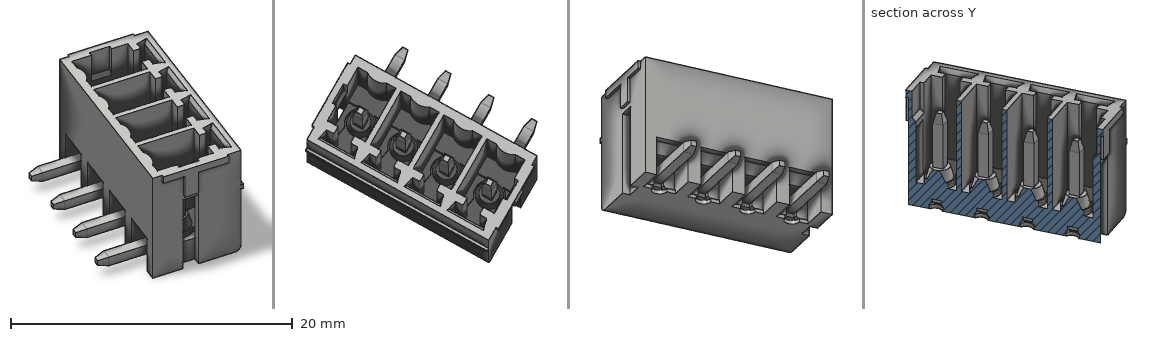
import cadquery as cq


poles = 4
pitch = 3.5
housing_length = 14.8
housing_depth = 7.0
housing_height = 9.2
bottom_back_radius = 0.5
half_length = housing_length / 2
cell_centres = [(i - (poles - 1) / 2) * pitch for i in range(poles)]

back_rib_projection = 0.2
back_rib_height = 0.4
back_rib_centre_z = 5.82

end_plate_thickness = 0.2
end_plate_front = 0.75
end_plate_back = 5.93
end_bar_height = 0.6
end_stem_front = 2.44
end_stem_back = 3.54
end_plate_height = 2.5

cell_width = 3.1
cell_front = 0.68
cell_back = 5.1
cell_floor = 1.93
ledge_top = 2.38
ledge_back = 2.07
bulge_half_width = 0.77
bulge_height = 0.25
rib_width_at_back = 2.22
rib_width_at_front = 1.5
end_wall = half_length - cell_centres[-1] - cell_width / 2

neck_width = 1.34
neck_corner_radius = 0.14
dovetail_floor = cell_floor
dovetail_front = 5.7
dovetail_back = 6.36
dovetail_front_width = 2.52
dovetail_back_width = 2.84
lead_in_depth = 0.2
lead_in_height = 0.4
lead_in_width = 2.97

end_slot_front = 2.38
end_slot_back = 3.64
end_slot_top = 6.32
notch_front = 2.22
notch_back = 3.82
notch_depth = 0.31
notch_floor = 7.1

pin_width = 0.8
tip_width = 0.42
tip_length = 0.8
pin_y = 3.06
pin_top = 7.55
lead_z = 1.21
lead_reach = 3.4

collar_base_radius = 1.15
collar_base_top = 2.23
collar_shoulder_radius = 1.12
collar_cone_radius = 1.0
collar_top_radius = 0.74
collar_top = 3.24

recess_width = 2.5
recess_top = 3.0
upper_recess_depth = 0.55
ceiling_front = 1.94
ceiling_back = 1.79
sill_height = 0.3
sill_depth = 0.1
bottom_hole_radius = 0.575
hole_taper_top = 0.5
pin_groove_width = 0.76


def block(x0, x1, y0, y1, z0, z1):
    """Box between two opposite corners."""
    return cq.Workplane("XY").box(x1 - x0, y1 - y0, z1 - z0, centered=False).translate((x0, y0, z0))


def centred_block(x, width, y0, y1, z0, z1):
    """Box centred on x."""
    return block(x - width / 2, x + width / 2, y0, y1, z0, z1)


def trapezoid_prism(x, y0, width0, y1, width1, z0, z1):
    """Upright prism whose width changes evenly from y0 to y1."""
    return (
        cq.Workplane("XY", origin=(x, 0, z0))
        .moveTo(-width0 / 2, y0)
        .lineTo(width0 / 2, y0)
        .lineTo(width1 / 2, y1)
        .lineTo(-width1 / 2, y1)
        .close()
        .extrude(z1 - z0)
    )


def make_shell():
    """Solid housing with its rounded lower back edge, back rib and end plates."""
    shell = block(-half_length, half_length, 0, housing_depth, 0, housing_height)
    shell = shell.edges("|X and >Y and <Z").fillet(bottom_back_radius)
    rib_bottom = back_rib_centre_z - back_rib_height / 2
    rib = block(-half_length, half_length, housing_depth, housing_depth + back_rib_projection,
                rib_bottom, rib_bottom + back_rib_height)
    plate_length = housing_length + 2 * end_plate_thickness
    bar = centred_block(0, plate_length, end_plate_front, end_plate_back,
                        housing_height - end_bar_height, housing_height)
    stem = centred_block(0, plate_length, end_stem_front, end_stem_back,
                         housing_height - end_plate_height, housing_height)
    return shell.union(rib).union(bar).union(stem)


def make_cell(x):
    """Void of one cell, leaving the front bulge, front ledge and tapered floor rib."""
    half_width = cell_width / 2
    cell = (
        cq.Workplane("XY", origin=(x, 0, cell_floor))
        .moveTo(-half_width, cell_front)
        .lineTo(-bulge_half_width, cell_front)
        .threePointArc((0, cell_front + bulge_height), (bulge_half_width, cell_front))
        .lineTo(half_width, cell_front)
        .lineTo(half_width, cell_back)
        .lineTo(-half_width, cell_back)
        .close()
        .extrude(housing_height - cell_floor)
    )
    ledge = centred_block(x, cell_width, cell_front, ledge_back, cell_floor, ledge_top)
    floor_rib = trapezoid_prism(x, pin_y, rib_width_at_front, cell_back, rib_width_at_back,
                                cell_floor, ledge_top)
    return cell.cut(ledge).cut(floor_rib)


def make_keyway(x):
    """Neck and dovetail void behind a cell, with a sloped lead-in on the back wall."""
    half_neck = neck_width / 2
    half_mouth = half_neck + neck_corner_radius
    corner_y = dovetail_front - neck_corner_radius
    neck = (
        cq.Workplane("XY", origin=(x, 0, ledge_top))
        .moveTo(-half_neck, cell_back)
        .lineTo(half_neck, cell_back)
        .lineTo(half_neck, corner_y)
        .radiusArc((half_mouth, dovetail_front), neck_corner_radius)
        .lineTo(-half_mouth, dovetail_front)
        .radiusArc((-half_neck, corner_y), neck_corner_radius)
        .close()
        .extrude(housing_height - ledge_top)
    )
    dovetail = trapezoid_prism(x, dovetail_front, dovetail_front_width,
                               dovetail_back, dovetail_back_width,
                               dovetail_floor, housing_height)
    widened = trapezoid_prism(x, dovetail_back, dovetail_back_width,
                              dovetail_back + lead_in_depth, lead_in_width,
                              housing_height - lead_in_height, housing_height)
    slope = (
        cq.Workplane("YZ", origin=(x - lead_in_width / 2, 0, 0))
        .moveTo(dovetail_back, housing_height - lead_in_height)
        .lineTo(dovetail_back + lead_in_depth, housing_height)
        .lineTo(dovetail_back, housing_height)
        .close()
        .extrude(lead_in_width)
    )
    return neck.union(dovetail).union(widened.intersect(slope))


def make_recess(x):
    """Void under a cell for the pin lead, with a tapered bottom hole set into its back wall."""
    sill_y = ledge_back
    wall_y = sill_y + sill_depth
    left = x - recess_width / 2
    void = (
        cq.Workplane("YZ", origin=(left, 0, 0))
        .moveTo(0, 0)
        .lineTo(sill_y, 0)
        .lineTo(sill_y, sill_height)
        .lineTo(wall_y, sill_height)
        .lineTo(wall_y, ceiling_back)
        .lineTo(upper_recess_depth, ceiling_front)
        .lineTo(upper_recess_depth, recess_top)
        .lineTo(0, recess_top)
        .close()
        .extrude(recess_width)
    )
    hole = (
        cq.Workplane("XY", origin=(x, sill_y, 0))
        .circle(bottom_hole_radius)
        .extrude(sill_height)
    )
    hole_width = 2 * bottom_hole_radius
    taper = (
        cq.Workplane("XY", origin=(x, wall_y, sill_height))
        .rect(hole_width, hole_width)
        .workplane(offset=hole_taper_top - sill_height)
        .rect(pin_groove_width, pin_groove_width)
        .loft()
    )
    groove = centred_block(x, pin_groove_width, sill_y, wall_y + pin_groove_width / 2,
                           hole_taper_top, lead_z - pin_width / 2)
    return void.union(hole).union(taper).union(groove)


def make_collar(x):
    """Stepped, tapered collar standing on the cell floor around the pin."""
    return (
        cq.Workplane("XZ")
        .moveTo(0, cell_floor)
        .lineTo(collar_base_radius, cell_floor)
        .lineTo(collar_base_radius, collar_base_top)
        .lineTo(collar_shoulder_radius, ledge_top)
        .lineTo(collar_cone_radius, ledge_top)
        .lineTo(collar_top_radius, collar_top)
        .lineTo(0, collar_top)
        .close()
        .revolve(360, (0, 0, 0), (0, 1, 0))
        .translate((x, pin_y, 0))
    )


def make_bar(start, direction, length):
    """Square bar with a tapered tip at its far end."""
    plane = cq.Plane(origin=start, xDir=(1, 0, 0), normal=direction)
    shaft_length = length - tip_length
    shaft = cq.Workplane(plane).rect(pin_width, pin_width).extrude(shaft_length)
    tip = (
        cq.Workplane(plane)
        .workplane(offset=shaft_length)
        .rect(pin_width, pin_width)
        .workplane(offset=tip_length)
        .rect(tip_width, tip_width)
        .loft()
    )
    return shaft.union(tip)


def make_pin(x):
    """Right-angled pin: an upright contact and a lead leaving through the front."""
    half_pin = pin_width / 2
    lead_bottom = lead_z - half_pin
    contact = make_bar((x, pin_y, lead_bottom), (0, 0, 1), pin_top - lead_bottom)
    lead_start = pin_y + half_pin
    lead = make_bar((x, lead_start, lead_z), (0, -1, 0), lead_start + lead_reach)
    return contact.union(lead)


def make_end_openings():
    """Slot and sloped inner notch in the left end wall, mirrored to the right one."""
    inner_x = -half_length + end_wall
    slot = block(-half_length, inner_x, end_slot_front, end_slot_back, 0, end_slot_top)
    notch = (
        cq.Workplane("XZ", origin=(0, notch_back, 0))
        .moveTo(inner_x, notch_floor - notch_depth)
        .lineTo(inner_x - notch_depth, notch_floor)
        .lineTo(inner_x - notch_depth, housing_height)
        .lineTo(inner_x, housing_height)
        .close()
        .extrude(notch_back - notch_front)
    )
    left = slot.union(notch)
    return left.union(left.mirror("YZ"))


housing = make_shell()
for centre in cell_centres:
    housing = housing.cut(make_cell(centre)).cut(make_keyway(centre)).cut(make_recess(centre))
housing = housing.cut(make_end_openings())

result = housing
for centre in cell_centres:
    result = result.union(make_collar(centre)).union(make_pin(centre))